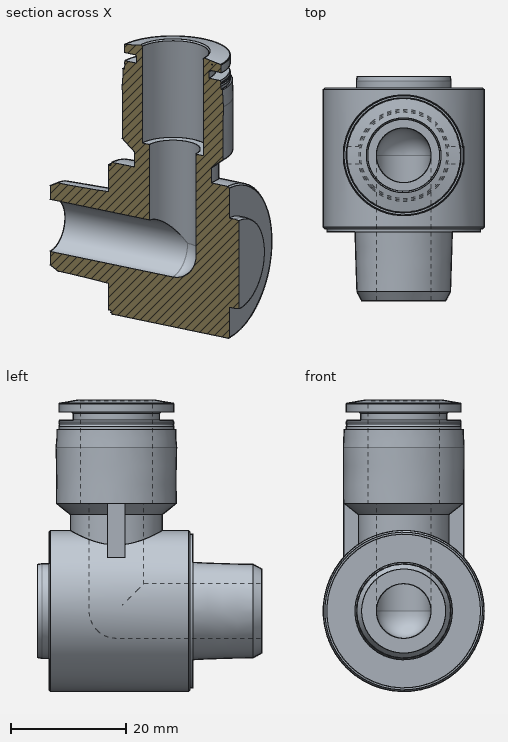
import cadquery as cq


barrel_diameter = 28.0
barrel_length = 25.0
barrel_back_y = 11.7
barrel_chamfer = 0.3
barrel_front_y = barrel_back_y - barrel_length
collar_diameter = 26.7
collar_length = 0.5
shoulder_y = barrel_front_y + collar_length

boss_diameter = 16.5
boss_length = 2.0
boss_chamfer_length = 0.8
boss_chamfer_depth = 0.15
boss_end_y = barrel_back_y + boss_length

spigot_root_diameter = 16.95
spigot_length = 12.0
spigot_taper = 1 / 16
spigot_nose_length = 1.6
spigot_end_diameter = 14.6
spigot_end_y = barrel_front_y - spigot_length
spigot_nose_y = spigot_end_y + spigot_nose_length
spigot_nose_diameter = spigot_root_diameter - spigot_taper * (barrel_front_y - spigot_nose_y)

stem_diameter = 16.0
stem_top_z = 16.75
body_bottom_z = 18.7
body_widest_z = 28.45
body_top_z = 31.55
body_bottom_diameter = 20.9
body_diameter = 21.0
body_top_diameter = 20.7

ring_diameter = 20.0
ring_groove_diameter = 19.7
ring_groove_bottom_z = 32.1
ring_groove_top_z = 32.5
ring_top_z = 33.15
ring_chamfer_depth = 0.15
ring_chamfer_height = 0.3

sleeve_diameter = 15.0
sleeve_root_chamfer = 0.25
flange_diameter = 20.0
flange_face_diameter = 19.8
flange_bottom_z = 34.55
flange_rim_z = 36.0
flange_face_edge_z = flange_rim_z + (flange_diameter - flange_face_diameter) / 2
tower_top_z = 36.7

rib_span = body_bottom_diameter
rib_thickness = 3.0

flow_bore_diameter = 9.5
tube_bore_diameter = 12.5
tube_bore_floor_z = body_bottom_z
tube_mouth_chamfer = 0.25
tube_mouth_diameter = tube_bore_diameter + 2 * tube_mouth_chamfer


def revolved_about_z(profile):
    """Turn (diameter, z) steps into a solid of revolution about Z."""
    outline = [(0, profile[0][1])]
    outline += [(diameter / 2, z) for diameter, z in profile]
    outline += [(0, profile[-1][1])]
    return cq.Workplane("XZ").polyline(outline).close().revolve(360, (0, 0), (0, 1))


def revolved_about_y(profile):
    """Turn (diameter, y) steps into a solid of revolution about Y."""
    return revolved_about_z(profile).rotate((0, 0, 0), (1, 0, 0), -90)


def make_barrel():
    """Barrel with its rear boss, front collar and tapered spigot."""
    chamfered_diameter = barrel_diameter - 2 * barrel_chamfer
    return revolved_about_y([
        (spigot_end_diameter, spigot_end_y),
        (spigot_nose_diameter, spigot_nose_y),
        (spigot_root_diameter, barrel_front_y),
        (collar_diameter, barrel_front_y),
        (collar_diameter, shoulder_y),
        (chamfered_diameter, shoulder_y),
        (barrel_diameter, shoulder_y + barrel_chamfer),
        (barrel_diameter, barrel_back_y - barrel_chamfer),
        (chamfered_diameter, barrel_back_y),
        (boss_diameter, barrel_back_y),
        (boss_diameter, boss_end_y - boss_chamfer_length),
        (boss_diameter - 2 * boss_chamfer_depth, boss_end_y),
    ])


def make_tower():
    """Stem, body, closing ring and flanged release sleeve."""
    return revolved_about_z([
        (stem_diameter, 0),
        (stem_diameter, stem_top_z),
        (body_bottom_diameter, body_bottom_z),
        (body_diameter, body_widest_z),
        (body_top_diameter, body_top_z),
        (ring_diameter, body_top_z),
        (ring_diameter, ring_groove_bottom_z),
        (ring_groove_diameter, ring_groove_top_z),
        (ring_diameter, ring_groove_top_z),
        (ring_diameter, ring_top_z - ring_chamfer_height),
        (ring_diameter - 2 * ring_chamfer_depth, ring_top_z),
        (sleeve_diameter, ring_top_z),
        (sleeve_diameter, flange_bottom_z - sleeve_root_chamfer),
        (sleeve_diameter + 2 * sleeve_root_chamfer, flange_bottom_z),
        (flange_diameter, flange_bottom_z),
        (flange_diameter, flange_rim_z),
        (flange_face_diameter, flange_face_edge_z),
        (tube_mouth_diameter, tower_top_z),
    ])


def make_ribs():
    """One plate through the stem that leaves a rib on each side of it."""
    return cq.Workplane("XY").rect(rib_span, rib_thickness).extrude(body_bottom_z)


def make_passages():
    """Flow bore with a ball-shaped elbow, and the tube bore above it."""
    flow_radius = flow_bore_diameter / 2
    elbow = cq.Workplane("XY").sphere(flow_radius)
    spigot_bore = cq.Workplane("XZ").circle(flow_radius).extrude(-spigot_end_y)
    tower_bore = revolved_about_z([
        (flow_bore_diameter, 0),
        (flow_bore_diameter, tube_bore_floor_z),
        (tube_bore_diameter, tube_bore_floor_z),
        (tube_bore_diameter, tower_top_z - tube_mouth_chamfer),
        (tube_mouth_diameter, tower_top_z),
    ])
    return elbow.union(spigot_bore).union(tower_bore)


result = make_barrel().union(make_tower()).union(make_ribs()).cut(make_passages())